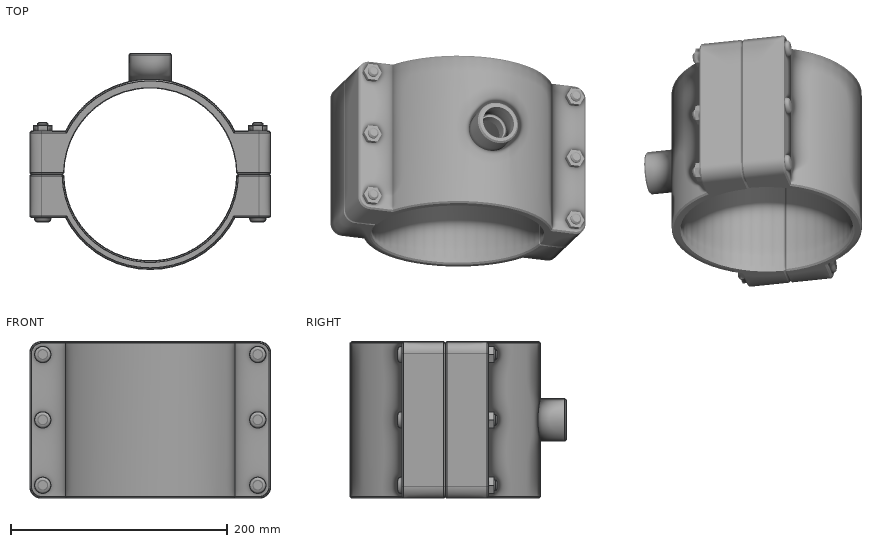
import cadquery as cq
import math

HEIGHT = 145.0
BORE_RADIUS = 80.0
RING_RADIUS = 88.0
OVERALL_WIDTH = 223.0
FLANGE_DEPTH = 40.0
FLANGE_CORNER_RADIUS = 11.0
EDGE_CHAMFER = 1.5

PORT_END_Y = 112.0
PORT_DIAMETER = 39.38
PORT_BORE_DIAMETER = 30.29
PORT_HOLE_DIAMETER = 25.0
PORT_BORE_FLOOR_Y = 91.0

BOLT_EDGE_DISTANCE = 12.0
BOLT_DIAMETER = 10.0
BOLT_HEAD_DIAMETER = 15.0
BOLT_HEAD_HEIGHT = 4.0
BOLT_HEAD_ROUND = 3.0
BOLT_END_CHAMFER = 1.5
BOLT_STICK_OUT = 8.0
NUT_ACROSS_FLATS = 15.0
NUT_SIDES = 6
NUT_HEIGHT = 5.0

half_width = OVERALL_WIDTH / 2
half_height = HEIGHT / 2
bolt_x = half_width - BOLT_EDGE_DISTANCE
bolt_z = half_height - BOLT_EDGE_DISTANCE
junction_x = math.sqrt(RING_RADIUS**2 - FLANGE_DEPTH**2)


def half_body(side):
    """Half ring with its two flanges, on the +Y (side = 1) or -Y (side = -1) side."""
    flange_y = side * FLANGE_DEPTH
    body = (
        cq.Workplane("XY", origin=(0, 0, -half_height))
        .moveTo(-half_width, 0)
        .lineTo(-half_width, flange_y)
        .lineTo(-junction_x, flange_y)
        .threePointArc((0, side * RING_RADIUS), (junction_x, flange_y))
        .lineTo(half_width, flange_y)
        .lineTo(half_width, 0)
        .lineTo(BORE_RADIUS, 0)
        .threePointArc((0, side * BORE_RADIUS), (-BORE_RADIUS, 0))
        .close()
        .extrude(HEIGHT)
    )
    return body.edges("|Y").fillet(FLANGE_CORNER_RADIUS)


def is_junction_edge(edge):
    """True for the upright inside corners where a flange leaves the ring."""
    center = edge.Center()
    return edge.geomType() == "LINE" and math.isclose(abs(center.x), junction_x, abs_tol=0.01)


def is_bore_rim(edge):
    """True for the two end arcs of the bore."""
    return edge.geomType() == "CIRCLE" and math.isclose(edge.radius(), BORE_RADIUS, abs_tol=0.01)


def chamfer_outline(body, keep_bore_rim_sharp):
    """Chamfer the ring ends, flange faces and parting faces of a half body."""
    edges = body.edges("not |Y").filter(lambda edge: not is_junction_edge(edge))
    if keep_bore_rim_sharp:
        edges = edges.filter(lambda edge: not is_bore_rim(edge))
    return edges.chamfer(EDGE_CHAMFER)


def cylinder_along_y(diameter, start_y, end_y, x=0, z=0):
    """Solid cylinder running in the +Y direction."""
    start = cq.Workplane("XZ", origin=(x, start_y, z))
    return start.circle(diameter / 2).extrude(start_y - end_y)


def port_boss():
    """Boss from inside the ring wall out to the port end, with a chamfered rim."""
    wall_middle = (BORE_RADIUS + RING_RADIUS) / 2
    boss = cylinder_along_y(PORT_DIAMETER, wall_middle, PORT_END_Y)
    return boss.faces(">Y").chamfer(EDGE_CHAMFER)


def port_cut():
    """Stepped passage through the port into the bore."""
    bore = cylinder_along_y(PORT_BORE_DIAMETER, PORT_BORE_FLOOR_Y, PORT_END_Y)
    hole = cylinder_along_y(PORT_HOLE_DIAMETER, 0, PORT_END_Y)
    return bore.union(hole)


def bolt(x, z):
    """Round headed bolt with its head on the -Y flange and its nut on the +Y flange."""
    head = cylinder_along_y(BOLT_HEAD_DIAMETER, -FLANGE_DEPTH - BOLT_HEAD_HEIGHT, -FLANGE_DEPTH, x, z)
    head = head.faces("<Y").edges().fillet(BOLT_HEAD_ROUND)
    shank = cylinder_along_y(BOLT_DIAMETER, -FLANGE_DEPTH, FLANGE_DEPTH + BOLT_STICK_OUT, x, z)
    shank = shank.faces(">Y").chamfer(BOLT_END_CHAMFER)
    nut = (
        cq.Workplane("XZ", origin=(x, FLANGE_DEPTH, z))
        .polygon(NUT_SIDES, NUT_ACROSS_FLATS / math.cos(math.pi / NUT_SIDES))
        .extrude(-NUT_HEIGHT)
    )
    return head.union(shank).union(nut)


front_half = chamfer_outline(half_body(-1), keep_bore_rim_sharp=False)
back_half = chamfer_outline(half_body(1), keep_bore_rim_sharp=True)

result = front_half.union(back_half).union(port_boss()).cut(port_cut())
for x in (-bolt_x, bolt_x):
    for z in (-bolt_z, 0, bolt_z):
        result = result.union(bolt(x, z))